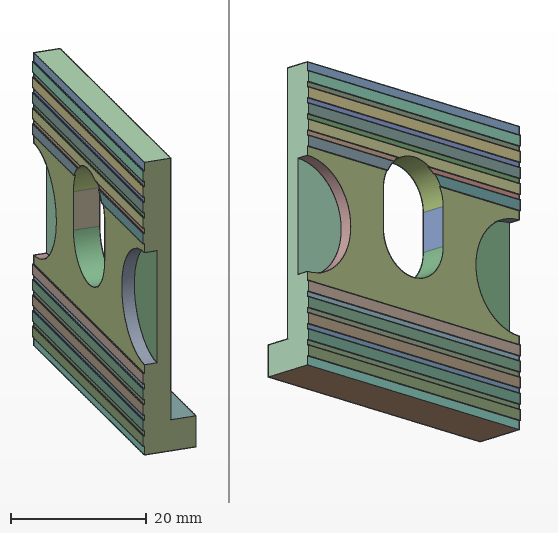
import cadquery as cq

width = 44.0
height = 47.0
total_depth = 8.4

ridge_height = 0.2
ridge_width = 1.7
ridge_pitch = 2.5
ridges_per_band = 5
ridge_edge_margin = 1.4

lip_overhang = 4.0
lip_height = 5.0

recess_diameter = 18.0
recess_depth = 2.0

slot_width = 12.4
slot_length = 18.6
slot_center_z = 27.9

lip_back_y = total_depth - ridge_height
plate_thickness = lip_back_y - lip_overhang


def make_body():
    """L-shaped side profile extruded across the width."""
    profile = [
        (0, 0),
        (lip_back_y, 0),
        (lip_back_y, lip_height),
        (plate_thickness, lip_height),
        (plate_thickness, height),
        (0, height),
    ]
    return cq.Workplane("YZ").polyline(profile).close().extrude(width / 2, both=True)


def make_ridge(bottom_z):
    """One full-width rectangular ridge, sunk into the plate so that it fuses cleanly."""
    return (
        cq.Workplane("XY")
        .box(width, ridge_height + plate_thickness, ridge_width, centered=(True, False, False))
        .translate((0, -ridge_height, bottom_z))
    )


def add_ridges(body):
    """Two mirrored bands of evenly spaced ridges."""
    for index in range(ridges_per_band):
        edge_distance = ridge_edge_margin + index * ridge_pitch
        body = body.union(make_ridge(edge_distance))
        body = body.union(make_ridge(height - edge_distance - ridge_width))
    return body


def cut_edge_recesses(body):
    """Shallow round pockets, each cut in half by a side edge of the plate."""
    cutter = (
        cq.Workplane("XZ", origin=(0, 0, height / 2))
        .pushPoints([(-width / 2, 0), (width / 2, 0)])
        .circle(recess_diameter / 2)
        .extrude(-recess_depth)
    )
    return body.cut(cutter)


def cut_slot(body):
    """Slot through the plate, breaking through the ridges it meets."""
    cutter = (
        cq.Workplane("XZ", origin=(0, 0, slot_center_z))
        .slot2D(slot_length, slot_width, angle=90)
        .extrude(total_depth, both=True)
    )
    return body.cut(cutter)


result = cut_slot(cut_edge_recesses(add_ridges(make_body())))